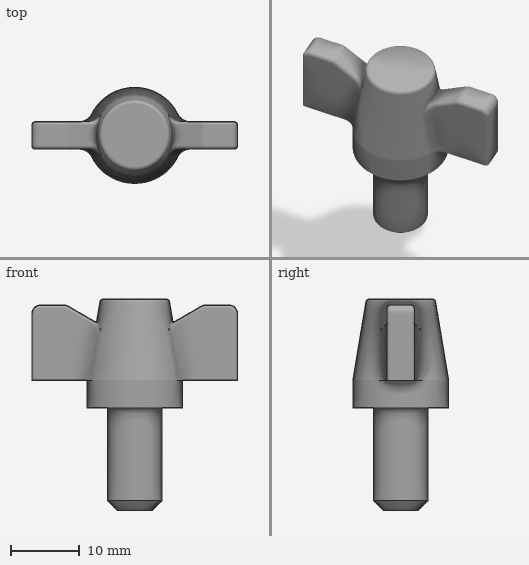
import cadquery as cq
import math

stud_diameter = 8.0
stud_length = 15.0
stud_chamfer = 1.5

collar_diameter = 14.0
collar_height = 4.0
crown_height = 11.87
crown_taper = 1.0 / 6.0
crown_edge_radius = 0.5

wing_span = 30.0
wing_thickness = 4.0
wing_height = 11.0
wing_slope_angle = 30.0
wing_bend_x = 10.0
wing_corner_radius = 1.25
wing_edge_radius = 0.5
wing_root_radius = 2.0
wing_valley_radius = 0.2

collar_base_z = stud_length
crown_base_z = collar_base_z + collar_height

wing_tip_x = wing_span / 2
collar_radius = collar_diameter / 2
crown_top_radius = collar_radius - crown_height * crown_taper


def make_stud():
    stud = cq.Workplane("XY").circle(stud_diameter / 2).extrude(stud_length)
    return stud.faces("<Z").chamfer(stud_chamfer)


def make_collar():
    return cq.Workplane("XY", origin=(0, 0, collar_base_z)).circle(collar_radius).extrude(collar_height)


def make_crown():
    """Tapered crown with sharp edges."""
    profile = (
        cq.Workplane("YZ", origin=(0, 0, crown_base_z))
        .lineTo(collar_radius, 0)
        .lineTo(crown_top_radius, crown_height)
        .lineTo(0, crown_height)
        .close()
    )
    return profile.revolve(360, (0, 0), (0, 1))


def make_wing_outline():
    """Slab carrying the outline of the +X wing, from the crown axis to the tip."""
    valley_height = wing_height - wing_bend_x * math.tan(math.radians(wing_slope_angle))
    slab = (
        cq.Workplane("XZ", origin=(0, 0, crown_base_z))
        .lineTo(wing_tip_x, 0)
        .lineTo(wing_tip_x, wing_height)
        .lineTo(wing_bend_x, wing_height)
        .lineTo(0, valley_height)
        .close()
        .extrude(collar_diameter, both=True)
    )
    return slab.faces(">Z").edges("|Y").fillet(wing_corner_radius)


def make_wing():
    """The +X wing joined to the portion of the crown that lies beneath the wing top."""
    plate = (
        cq.Workplane("XY", origin=(0, 0, crown_base_z))
        .rect(wing_span, wing_thickness)
        .extrude(wing_height)
    )
    blank = make_crown().union(plate)
    root_seams = [edge for edge in blank.edges().vals() if edge.geomType() == "HYPERBOLA"]
    blank = blank.newObject(root_seams).fillet(wing_root_radius)
    wing = blank.intersect(make_wing_outline())
    return wing.faces(">X").edges("|Z").fillet(wing_edge_radius)


def make_head():
    """Crown with both wings, finished on one quarter and mirrored across both symmetry planes."""
    crown = make_crown().faces(">Z").edges().fillet(crown_edge_radius)
    quarter_space = (
        cq.Workplane("XY", origin=(0, 0, crown_base_z))
        .rect(wing_tip_x, collar_diameter, centered=False)
        .extrude(crown_height)
    )
    quarter = crown.union(make_wing()).intersect(quarter_space)
    valley_seam = [edge for edge in quarter.edges().vals() if edge.geomType() == "ELLIPSE"]
    quarter = quarter.newObject(valley_seam).fillet(wing_valley_radius)
    half = quarter.union(quarter.mirror("XZ"))
    return half.union(half.mirror("YZ"))


part = make_stud().union(make_collar()).union(make_head())
result = part.solids()